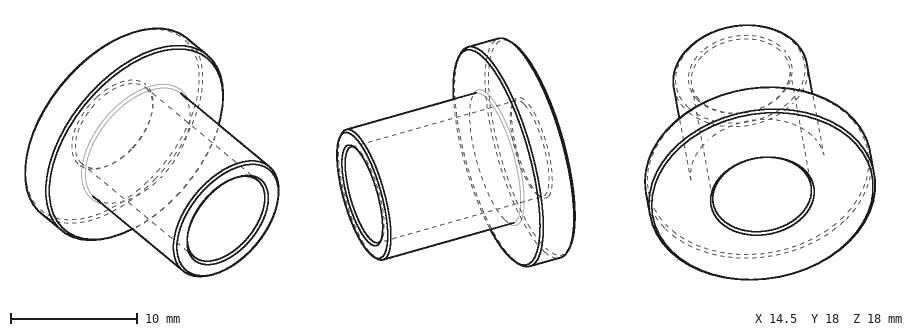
import cadquery as cq

total_length = 14.5
flange_thickness = 3.0
flange_diameter = 18.0
sleeve_diameter = 10.7
bore_diameter = 7.85
edge_chamfer = 0.2
neck_fillet = 0.22


def cylinder_along_x(diameter, length):
    return cq.Workplane("YZ").circle(diameter / 2).extrude(length)


flange = cylinder_along_x(flange_diameter, flange_thickness)
sleeve = cylinder_along_x(sleeve_diameter, total_length)
bore = cylinder_along_x(bore_diameter, total_length)

flange = flange.edges("%CIRCLE").chamfer(edge_chamfer)
sleeve = sleeve.faces(">X").edges().chamfer(edge_chamfer)

smallest_circle = cq.selectors.RadiusNthSelector(0)
body = flange.union(sleeve)
neck_corner = body.faces("|X").faces(">X[-2]").edges(smallest_circle)
body = neck_corner.fillet(neck_fillet)

body = body.cut(bore)
bore_mouths = body.faces("<X or >X").edges(smallest_circle)
result = bore_mouths.chamfer(edge_chamfer)